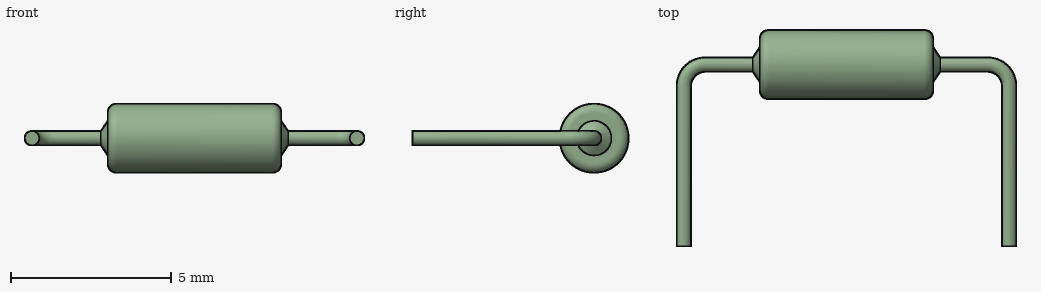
import cadquery as cq

overall_length = 10.62
body_diameter = 2.17
body_length = 5.43
body_edge_radius = 0.28
collar_base_diameter = 1.08
collar_length = 0.21
lead_diameter = 0.46
bend_radius = 0.67
lead_reach = 5.68

body_radius = body_diameter / 2
lead_radius = lead_diameter / 2
leg_offset = overall_length / 2 - lead_radius
bend_start = leg_offset - bend_radius


def make_body():
    """Cylinder along X with rounded end edges."""
    return (
        cq.Workplane("YZ", origin=(-body_length / 2, 0, 0))
        .circle(body_radius)
        .extrude(body_length)
        .edges("%CIRCLE")
        .fillet(body_edge_radius)
    )


def make_collar():
    """Cone tapering from the body's +X end face down to the lead."""
    base_x = body_length / 2
    tip_x = base_x + collar_length
    profile = [
        (base_x, 0),
        (base_x, collar_base_diameter / 2),
        (tip_x, lead_radius),
        (tip_x, 0),
    ]
    return cq.Workplane("XY").polyline(profile).close().revolve(360, (0, 0), (1, 0))


def make_lead():
    """Wire leaving the body along +X, then bent through 90 degrees toward -Y."""
    straight = cq.Workplane("YZ").circle(lead_radius).extrude(bend_start)
    bend = (
        cq.Workplane("YZ", origin=(bend_start, 0, 0))
        .circle(lead_radius)
        .revolve(90, (-bend_radius, 0), (-bend_radius, -1))
    )
    leg = (
        cq.Workplane("XZ", origin=(leg_offset, -bend_radius, 0))
        .circle(lead_radius)
        .extrude(lead_reach - bend_radius)
    )
    return straight.union(bend).union(leg)


right_end = make_collar().union(make_lead())
left_end = right_end.mirror("YZ")
result = make_body().union(right_end).union(left_end)